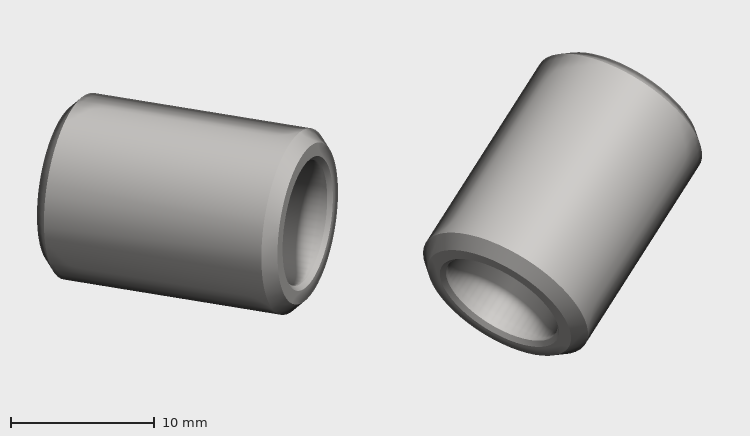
import cadquery as cq

length = 18.0
outer_diameter = 13.15
bore_diameter = 8.9

outer_chamfer = 0.86
bore_chamfer = 0.3


def cylinder_along_x(diameter):
    """Solid cylinder over the full length, centred on the X axis."""
    start = cq.Workplane("YZ").workplane(offset=-length / 2)
    return start.circle(diameter / 2).extrude(length)


body = cylinder_along_x(outer_diameter).edges("%CIRCLE").chamfer(outer_chamfer)

bore_mouths = cq.selectors.RadiusNthSelector(0)
sleeve = body.cut(cylinder_along_x(bore_diameter))
result = sleeve.edges(bore_mouths).chamfer(bore_chamfer)